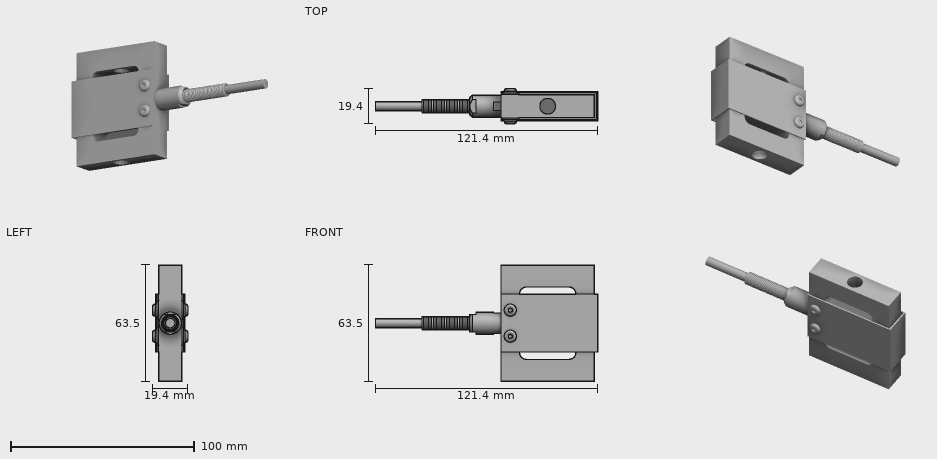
import cadquery as cq
import math


total_length = 121.4
total_width = 19.4

block_length = 51.0
block_width = 12.7
block_height = 63.5
mount_hole_diameter = 8.6
slot_length = 30.6
slot_height = 7.4
slot_outer_z = 19.7

cover_end_x = 52.9
cover_width = 15.9
cover_height = 31.7
cover_side_thickness = 0.7
cover_end_thickness = 1.0

screw_x = 5.1
screw_spacing = 14.2
head_diameter = 6.7
head_flat_diameter = 3.8
head_height = (total_width - cover_width) / 2
shank_diameter = 3.5
hex_width = 2.2
hex_depth = 0.7
drill_point_depth = 0.5
washer_diameter = 9.5

gland_diameter = 12.1
gland_length = 17.1
gland_tip_diameter = 9.5
gland_chamfer_length = 1.6
gland_mouth_diameter = 8.6
gland_mouth_depth = 0.5
front_flat_width = 9.7
front_flat_length = 3.4
rear_flat_width = 11.3
rear_flat_length = 4.0

sleeve_diameter = 7.3
sleeve_start_x = -43.1
rib_pitch = 0.89
rib_count = 30
cable_diameter = 5.1
cable_end_x = cover_end_x - total_length


def make_block():
    """Block with two through slots and a mounting hole at each end."""
    block = cq.Workplane("XY").box(block_length, block_width, block_height)
    slot_z = slot_outer_z - slot_height / 2
    slots = (
        cq.Workplane("XZ")
        .pushPoints([(0, slot_z), (0, -slot_z)])
        .slot2D(slot_length, slot_height)
        .extrude(block_width, both=True)
    )
    hole_depth = block_height / 2 - slot_z
    block = block.faces(">Z").workplane().hole(mount_hole_diameter, hole_depth)
    block = block.faces("<Z").workplane().hole(mount_hole_diameter, hole_depth)
    return block.cut(slots).translate((block_length / 2, 0, 0))


def make_cover():
    """U-shaped sheet, open towards the cable and at the top and bottom."""
    inner_length = cover_end_x - cover_end_thickness
    inner_width = cover_width - 2 * cover_side_thickness
    outer = cq.Workplane("XY").box(cover_end_x, cover_width, cover_height, centered=(False, True, True))
    inner = cq.Workplane("XY").box(inner_length, inner_width, cover_height, centered=(False, True, True))
    return outer.cut(inner)


def make_screw():
    """Button-head screw with its washer, along +Z, seated on the block side at Z = 0."""
    cover_outer = (cover_width - block_width) / 2
    washer_thickness = cover_outer - cover_side_thickness
    washer = cq.Workplane("XY").circle(washer_diameter / 2).extrude(washer_thickness)
    shank = cq.Workplane("XY").circle(shank_diameter / 2).extrude(cover_outer)

    head_radius = head_diameter / 2
    flat_radius = head_flat_diameter / 2
    dome_radius = head_radius - flat_radius
    rim_height = head_height - dome_radius
    arc_mid = dome_radius * math.sin(math.pi / 4)
    head = (
        cq.Workplane("XZ")
        .lineTo(head_radius, 0)
        .lineTo(head_radius, rim_height)
        .threePointArc((flat_radius + arc_mid, rim_height + arc_mid), (flat_radius, head_height))
        .lineTo(0, head_height)
        .close()
        .revolve(360, (0, 0, 0), (0, 1, 0))
    )
    hex_corner_diameter = hex_width / math.cos(math.pi / 6)
    socket = (
        cq.Workplane("XY")
        .workplane(offset=head_height - hex_depth)
        .polygon(6, hex_corner_diameter)
        .extrude(hex_depth)
        .rotate((0, 0, 0), (0, 0, 1), 90)
    )
    drill_tip_z = head_height - hex_depth - drill_point_depth
    drill_cone = cq.Solid.makeCone(0, hex_width / 2, drill_point_depth)
    drill_point = cq.Workplane(drill_cone).translate((0, 0, drill_tip_z))
    head = head.cut(socket).cut(drill_point).translate((0, 0, cover_outer))
    return washer.union(shank).union(head)


def make_screws():
    """Two screws on the front of the cover, mirrored to the back."""
    front_screw = make_screw().rotate((0, 0, 0), (1, 0, 0), 90).translate((screw_x, -block_width / 2, 0))
    screws = cq.Workplane("XY")
    for z in (-screw_spacing / 2, screw_spacing / 2):
        screw = front_screw.translate((0, 0, z))
        screws = screws.union(screw).union(screw.mirror("XZ"))
    return screws


def make_gland():
    """Round gland with a chamfered tip, a conical mouth and wrench flats above and below."""
    tip_x = -gland_length
    gland_radius = gland_diameter / 2
    gland = (
        cq.Workplane("XY")
        .moveTo(tip_x + gland_mouth_depth, 0)
        .lineTo(tip_x + gland_mouth_depth, sleeve_diameter / 2)
        .lineTo(tip_x, gland_mouth_diameter / 2)
        .lineTo(tip_x, gland_tip_diameter / 2)
        .lineTo(tip_x + gland_chamfer_length, gland_radius)
        .lineTo(0, gland_radius)
        .lineTo(0, 0)
        .close()
        .revolve(360, (0, 0, 0), (1, 0, 0))
    )
    flats = (
        (tip_x, front_flat_length, front_flat_width),
        (-rear_flat_length, rear_flat_length, rear_flat_width),
    )
    for start_x, length, width in flats:
        slab = cq.Workplane("XY").box(length, gland_diameter, gland_diameter, centered=(False, True, False))
        upper = slab.translate((start_x, 0, width / 2))
        gland = gland.cut(upper).cut(upper.mirror("XY"))
    return gland


def make_sleeve():
    """Strain relief of half-round ribs side by side, ending inside the mouth of the gland."""
    crest_radius = sleeve_diameter / 2
    root_radius = crest_radius - rib_pitch / 2
    end_x = sleeve_start_x + rib_count * rib_pitch
    profile = cq.Workplane("XY").moveTo(sleeve_start_x, 0).lineTo(sleeve_start_x, root_radius)
    for i in range(rib_count):
        rib_x = sleeve_start_x + i * rib_pitch
        crest = (rib_x + rib_pitch / 2, crest_radius)
        root = (rib_x + rib_pitch, root_radius)
        profile = profile.threePointArc(crest, root)
    return profile.lineTo(end_x, 0).close().revolve(360, (0, 0, 0), (1, 0, 0))


def make_cable():
    """Plain cable out of the strain relief."""
    length = sleeve_start_x - cable_end_x
    return cq.Workplane("YZ").workplane(offset=cable_end_x).circle(cable_diameter / 2).extrude(length)


result = (
    make_block()
    .union(make_cover())
    .union(make_screws())
    .union(make_gland())
    .union(make_sleeve())
    .union(make_cable())
)